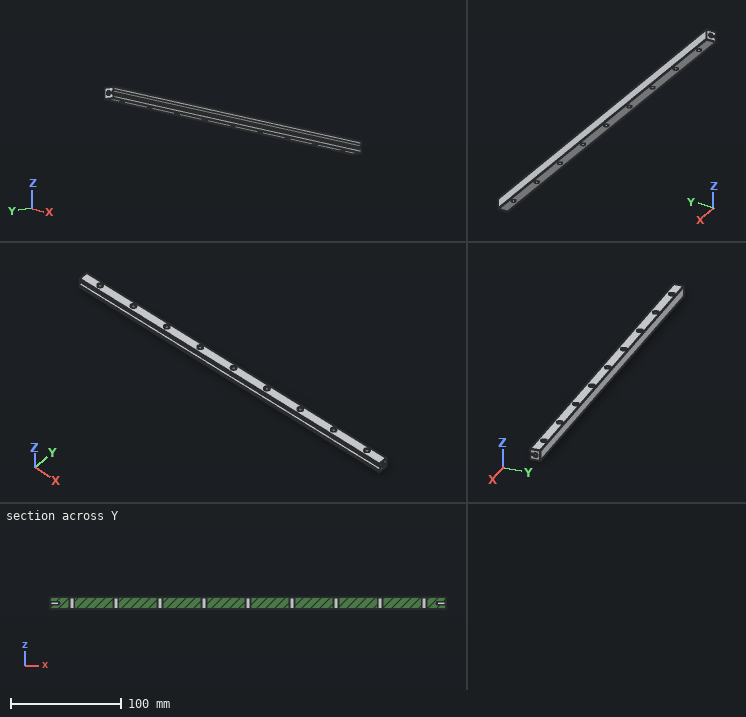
import cadquery as cq
import math

length = 360.0
width = 10.6
height = 11.0
edge_chamfer = 0.5

groove_mouth = 4.9
relief_width = 1.0
relief_depth = 0.5

hole_pitch = 40.0
hole_count = 9
hole_diameter = 4.2
countersink_diameter = 5.6
hole_from_back = 4.5

end_hole_diameter = 2.6
end_hole_depth = 8.0
end_countersink_diameter = 4.2
end_hole_from_back = 4.9
drill_tip_angle = 118.0

front_y = -width / 2
back_y = width / 2
hole_y = back_y - hole_from_back
end_hole_y = back_y - end_hole_from_back
end_x = length / 2
top_z = height / 2


def rail_body():
    """Rectangular bar with its long edges and the edges of both end faces chamfered."""
    bar = cq.Workplane("XY").box(length, width, height)
    bar = bar.edges("|X").chamfer(edge_chamfer)
    return bar.faces("<X or >X").chamfer(edge_chamfer)


def roller_groove():
    """V groove running the whole length of the front face, with a narrow relief at its root."""
    half_mouth = groove_mouth / 2
    half_relief = relief_width / 2
    apex_y = front_y + half_mouth
    relief_start_y = apex_y - half_relief
    relief_end_y = apex_y + relief_depth
    outline = [
        (front_y, -half_mouth),
        (relief_start_y, -half_relief),
        (relief_end_y, -half_relief),
        (relief_end_y, half_relief),
        (relief_start_y, half_relief),
        (front_y, half_mouth),
    ]
    return cq.Workplane("YZ", origin=(-end_x, 0, 0)).polyline(outline).close().extrude(length)


def countersunk_hole(mouth, axis, diameter, mouth_diameter, depth):
    """Round hole from the point `mouth` along `axis`, with a 45 degree countersink."""
    start = cq.Vector(*mouth)
    direction = cq.Vector(*axis)
    sink_depth = (mouth_diameter - diameter) / 2
    bore = cq.Solid.makeCylinder(diameter / 2, depth, start, direction)
    sink = cq.Solid.makeCone(mouth_diameter / 2, diameter / 2, sink_depth, start, direction)
    return bore.fuse(sink)


def mounting_hole(x):
    """Countersunk hole through the full height at the given X."""
    return countersunk_hole((x, hole_y, top_z), (0, 0, -1), hole_diameter, countersink_diameter, height)


def end_hole(side):
    """Blind countersunk hole with a drill tip in one end face (side is -1 or +1)."""
    mouth = (side * end_x, end_hole_y, 0)
    inward = (-side, 0, 0)
    bore = countersunk_hole(mouth, inward, end_hole_diameter, end_countersink_diameter, end_hole_depth)
    radius = end_hole_diameter / 2
    tip_length = radius / math.tan(math.radians(drill_tip_angle / 2))
    tip_start = cq.Vector(side * (end_x - end_hole_depth), end_hole_y, 0)
    tip = cq.Solid.makeCone(radius, 0, tip_length, tip_start, cq.Vector(*inward))
    return bore.fuse(tip)


result = rail_body().cut(roller_groove())

first_hole_x = -hole_pitch * (hole_count - 1) / 2
for i in range(hole_count):
    result = result.cut(mounting_hole(first_hole_x + i * hole_pitch))

for side in (-1, 1):
    result = result.cut(end_hole(side))